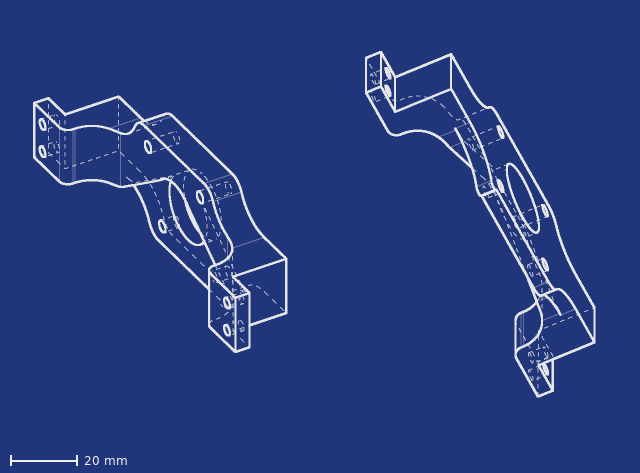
import cadquery as cq
import math

total_length = 120.0
total_depth = 23.8
arm_height = 20.0
plate_height = 44.0
plate_thickness = 10.0
lower_plate_thickness = 5.0

flange_thickness = 5.0
leg_outer_span = 100.0
leg_inner_span = 84.0
leg_inner_radius = 10.0
leg_foot_radius = 3.0
flange_hole_diameter = 3.4
flange_hole_span = 110.0
flange_hole_pitch = 10.0

neck_radius = 15.0
neck_center_x = 36.8
corner_radius = 6.0
lobe_radius = 1.8
lobe_overhang = 1.54

bore_diameter = 22.5
motor_hole_diameter = 3.8
motor_hole_pitch = 31.0

relief_roof_distance = 11.0
relief_end_x = 33.0
relief_blend_radius = 10.0

half_length = total_length / 2
half_arm = arm_height / 2
half_plate = plate_height / 2
neck_center_z = half_arm + neck_radius


def front_plane(y):
    """Sketch plane at depth y with local axes X and Z; positive extrusion goes toward -Y."""
    return cq.Workplane("XZ", origin=(0, y, 0))


def edges_near(reach_x, y=None, z=None):
    """Selector for edges centered within reach_x of mid-length, close to the given Y or Z."""
    margin = 1.0
    low_y, high_y = (-total_length, total_length) if y is None else (y - margin, y + margin)
    low_z, high_z = (-total_length, total_length) if z is None else (z - margin, z + margin)
    return cq.selectors.BoxSelector(
        (-reach_x - margin, low_y, low_z),
        (reach_x + margin, high_y, high_z),
    )


def bridge_profile():
    """Bridge seen along Z, extruded to the full plate height."""
    outer_x = leg_outer_span / 2
    inner_x = leg_inner_span / 2
    flange_back_y = flange_thickness - total_depth
    body = (
        cq.Workplane("XY", origin=(0, 0, -half_plate - lobe_overhang))
        .moveTo(-outer_x, 0)
        .lineTo(outer_x, 0)
        .lineTo(outer_x, flange_back_y)
        .lineTo(half_length, flange_back_y)
        .lineTo(half_length, -total_depth)
        .lineTo(inner_x, -total_depth)
        .lineTo(inner_x, -plate_thickness)
        .lineTo(-inner_x, -plate_thickness)
        .lineTo(-inner_x, -total_depth)
        .lineTo(-half_length, -total_depth)
        .lineTo(-half_length, flange_back_y)
        .lineTo(-outer_x, flange_back_y)
        .close()
        .extrude(plate_height + lobe_overhang)
    )
    body = body.edges("|Z").edges(edges_near(inner_x, y=-plate_thickness)).fillet(leg_inner_radius)
    return body.edges("|Z").edges(edges_near(inner_x, y=-total_depth)).fillet(leg_foot_radius)


def neck_to_round(round_radius, round_center_z):
    """X of a round tangent to a neck arc, and the (x, z) point where the two arcs meet."""
    rise = neck_center_z - round_center_z
    reach = neck_radius + round_radius
    run = math.sqrt(reach**2 - rise**2)
    center_x = neck_center_x - run
    share = round_radius / reach
    return center_x, (center_x + run * share, round_center_z + rise * share)


def neck_middle(junction):
    """Point halfway along a neck arc, between the arm edge and the junction with its round."""
    junction_x, junction_z = junction
    end_angle = math.atan2(neck_center_z - junction_z, neck_center_x - junction_x)
    middle_angle = (end_angle + math.pi / 2) / 2
    return (
        neck_center_x - neck_radius * math.cos(middle_angle),
        neck_center_z - neck_radius * math.sin(middle_angle),
    )


def front_outline():
    """Front silhouette: two arms, a rounded plate and a small lobe at the lower right corner."""
    corner_z = half_plate - corner_radius
    corner_x, corner_join = neck_to_round(corner_radius, corner_z)
    corner_angle = (math.pi / 2 + math.atan2(corner_join[1] - corner_z, corner_join[0] - corner_x)) / 2
    corner_middle = (
        corner_x + corner_radius * math.cos(corner_angle),
        corner_z + corner_radius * math.sin(corner_angle),
    )
    neck_mid = neck_middle(corner_join)

    lobe_z = half_plate + lobe_overhang - lobe_radius
    lobe_x, lobe_join = neck_to_round(lobe_radius, lobe_z)
    lobe_edge_x = lobe_x - math.sqrt(lobe_radius**2 - (half_plate - lobe_z) ** 2)
    lobe_neck_mid = neck_middle(lobe_join)

    def at(point, side_x, side_z):
        return (side_x * point[0], side_z * point[1])

    return (
        front_plane(0)
        .moveTo(-half_length, half_arm)
        .lineTo(-neck_center_x, half_arm)
        .threePointArc(at(neck_mid, -1, 1), at(corner_join, -1, 1))
        .threePointArc(at(corner_middle, -1, 1), (-corner_x, half_plate))
        .lineTo(corner_x, half_plate)
        .threePointArc(corner_middle, corner_join)
        .threePointArc(neck_mid, (neck_center_x, half_arm))
        .lineTo(half_length, half_arm)
        .lineTo(half_length, -half_arm)
        .lineTo(neck_center_x, -half_arm)
        .threePointArc(at(lobe_neck_mid, 1, -1), at(lobe_join, 1, -1))
        .threePointArc((lobe_x, -lobe_z - lobe_radius), (lobe_edge_x, -half_plate))
        .lineTo(-corner_x, -half_plate)
        .threePointArc(at(corner_middle, -1, -1), at(corner_join, -1, -1))
        .threePointArc(at(neck_mid, -1, -1), (-neck_center_x, -half_arm))
        .lineTo(-half_length, -half_arm)
        .close()
        .extrude(total_depth)
    )


def lower_relief():
    """Cutter that leaves the lower plate thin, with sloping roofs blended into the arm underside.

    Each roof line stops at its nearest point to the motor axis, which lies inside the bore.
    """
    floor_z = -half_plate - lobe_overhang
    end_distance = math.hypot(relief_end_x, half_arm)
    roof_slope = math.atan2(half_arm, relief_end_x) + math.asin(relief_roof_distance / end_distance)
    roof_top_x = relief_roof_distance * math.sin(roof_slope)
    roof_top_z = relief_roof_distance * math.cos(roof_slope)
    cutter = (
        front_plane(-lower_plate_thickness)
        .moveTo(-half_length, floor_z)
        .lineTo(-half_length, -half_arm)
        .lineTo(-relief_end_x, -half_arm)
        .lineTo(-roof_top_x, roof_top_z)
        .lineTo(roof_top_x, roof_top_z)
        .lineTo(relief_end_x, -half_arm)
        .lineTo(half_length, -half_arm)
        .lineTo(half_length, floor_z)
        .close()
        .extrude(total_depth)
    )
    return cutter.edges("|Y").edges(edges_near(relief_end_x, z=-half_arm)).fillet(relief_blend_radius)


def through_holes():
    """Cutters for the motor bore, its four screw holes and the two screw holes in each flange."""
    bore = front_plane(0).circle(bore_diameter / 2).extrude(total_depth)
    motor_holes = (
        front_plane(0)
        .rect(motor_hole_pitch, motor_hole_pitch, forConstruction=True)
        .vertices()
        .circle(motor_hole_diameter / 2)
        .extrude(total_depth)
    )
    flange_holes = (
        front_plane(0)
        .rect(flange_hole_span, flange_hole_pitch, forConstruction=True)
        .vertices()
        .circle(flange_hole_diameter / 2)
        .extrude(total_depth)
    )
    return bore.union(motor_holes).union(flange_holes)


result = bridge_profile().intersect(front_outline()).cut(lower_relief()).cut(through_holes())